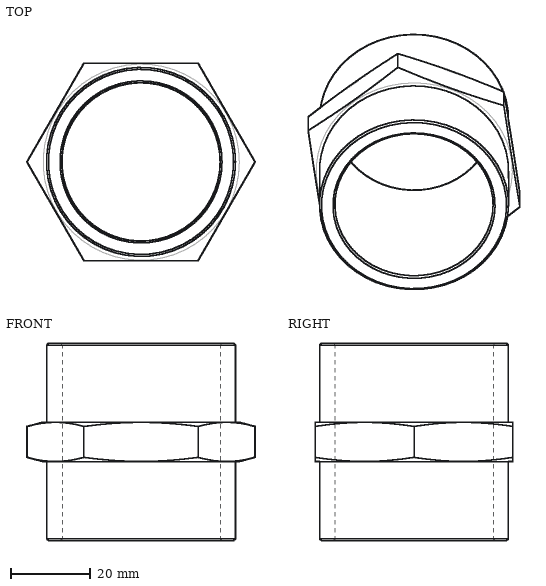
import cadquery as cq
import math

total_length = 50.0
across_flats = 50.0
hex_sides = 6
hex_height = 10.0
barrel_diameter = 47.8
bore_diameter = 40.0
end_chamfer = 0.5

bevel_start_diameter = 49.6
bevel_angle = 15.0

across_corners = across_flats / math.cos(math.pi / hex_sides)


def make_barrel():
    """Plain cylinder with chamfered end rims, centred on the origin."""
    barrel = cq.Workplane("XY").circle(barrel_diameter / 2).extrude(total_length / 2, both=True)
    return barrel.edges().chamfer(end_chamfer)


def make_hexagon():
    """Hexagonal collar with corners on X, its corners bevelled by a turned double cone."""
    hexagon = cq.Workplane("XY").polygon(hex_sides, across_corners).extrude(hex_height / 2, both=True)

    start_radius = bevel_start_diameter / 2
    rim_radius = across_corners / 2
    half_height = hex_height / 2
    bevel_drop = (rim_radius - start_radius) * math.tan(math.radians(bevel_angle))
    rim_height = half_height - bevel_drop
    envelope = (
        cq.Workplane("XZ")
        .moveTo(0, -half_height)
        .lineTo(start_radius, -half_height)
        .lineTo(rim_radius, -rim_height)
        .lineTo(rim_radius, rim_height)
        .lineTo(start_radius, half_height)
        .lineTo(0, half_height)
        .close()
        .revolve(360, (0, 0, 0), (0, 1, 0))
    )
    return hexagon.intersect(envelope)


def make_bore():
    """Through bore with chamfered mouths, as a solid to cut away."""
    bore_radius = bore_diameter / 2
    half_length = total_length / 2
    mouth_radius = bore_radius + end_chamfer
    return (
        cq.Workplane("XZ")
        .moveTo(0, -half_length)
        .lineTo(mouth_radius, -half_length)
        .lineTo(bore_radius, -half_length + end_chamfer)
        .lineTo(bore_radius, half_length - end_chamfer)
        .lineTo(mouth_radius, half_length)
        .lineTo(0, half_length)
        .close()
        .revolve(360, (0, 0, 0), (0, 1, 0))
    )


result = make_barrel().union(make_hexagon()).cut(make_bore())